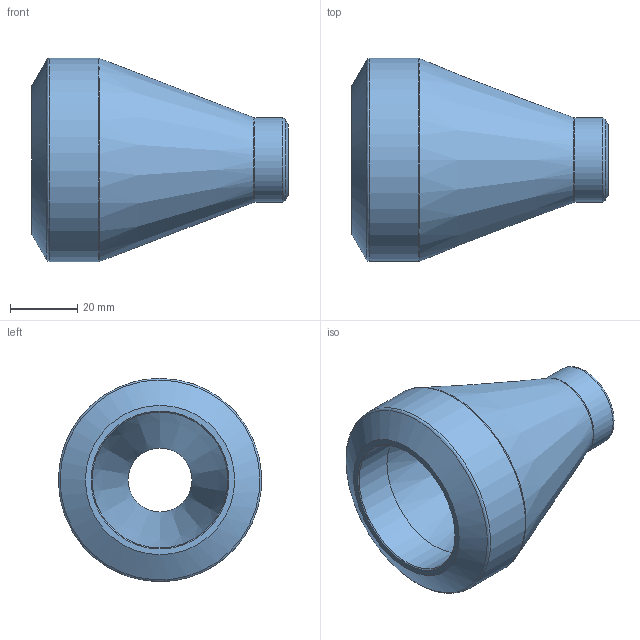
import cadquery as cq
import math

length = 76.0
large_outer_radius = 60.3 / 2
large_bore_radius = 40.3 / 2
small_outer_radius = 25.0 / 2
small_bore_radius = 19.0 / 2

cone_start = 20.0
cone_end = 66.0
bore_cone_start = 12.0
bore_cone_end = 58.0

large_land_width = 2.0
small_land_width = 1.0
bevel_angle = 30.0

corner_radius = 1.0
bore_mouth_chamfer = 0.3


def bevel_depth(outer_radius, land_radius):
    """Axial length of the bevel from the land edge to the outer cylinder."""
    return (outer_radius - land_radius) * math.tan(math.radians(bevel_angle))


def outer_body():
    """Solid outer shape: bevelled ends, straight ends and cone, with rounded corners."""
    large_land_radius = large_bore_radius + large_land_width
    small_land_radius = small_bore_radius + small_land_width
    large_bevel_end = bevel_depth(large_outer_radius, large_land_radius)
    small_bevel_start = length - bevel_depth(small_outer_radius, small_land_radius)

    body = (
        cq.Workplane("XZ")
        .lineTo(0, large_land_radius)
        .lineTo(large_bevel_end, large_outer_radius)
        .lineTo(cone_start, large_outer_radius)
        .lineTo(cone_end, small_outer_radius)
        .lineTo(small_bevel_start, small_outer_radius)
        .lineTo(length, small_land_radius)
        .lineTo(length, 0)
        .close()
        .revolve(360, (0, 0, 0), (1, 0, 0))
    )
    rounded_corners = [large_bevel_end, cone_start, cone_end, small_bevel_start]
    corner_edges = [
        edge
        for edge in body.edges("%CIRCLE").vals()
        if any(math.isclose(edge.Center().x, x, abs_tol=1e-4) for x in rounded_corners)
    ]
    return body.newObject(corner_edges).fillet(corner_radius)


def bore():
    """Through passage: straight bores joined by a cone, chamfered at the large mouth."""
    return (
        cq.Workplane("XZ")
        .lineTo(0, large_bore_radius + bore_mouth_chamfer)
        .lineTo(bore_mouth_chamfer, large_bore_radius)
        .lineTo(bore_cone_start, large_bore_radius)
        .lineTo(bore_cone_end, small_bore_radius)
        .lineTo(length, small_bore_radius)
        .lineTo(length, 0)
        .close()
        .revolve(360, (0, 0, 0), (1, 0, 0))
    )


result = outer_body().cut(bore())